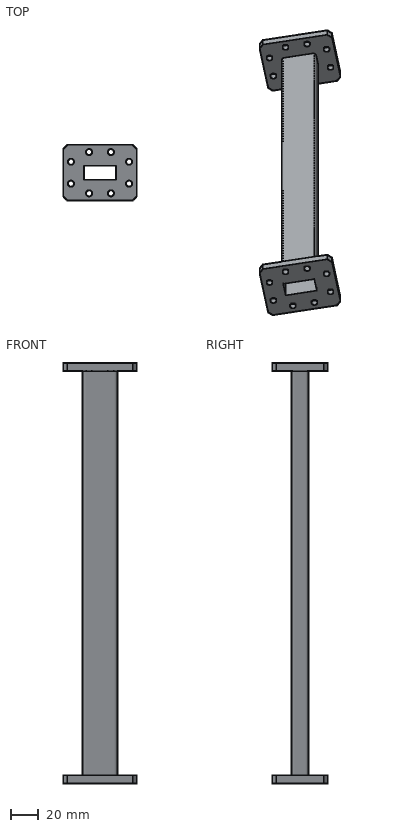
import cadquery as cq

length = 304.8

flange_x = 53.3
flange_y = 40.5
flange_thickness = 6.0
flange_chamfer = 3.0

bore_x = 23.0
bore_y = 10.0
wall = 1.28
tube_x = bore_x + 2 * wall
tube_y = bore_y + 2 * wall
tube_radius = 2.5

hole_diameter = 4.3
pair_offset = 8.0
hole_row_x = 21.0
hole_row_y = 15.0


def make_flange(bottom_z):
    """Flange plate with chamfered corners and eight bolt holes."""
    end_pairs = [(sx * hole_row_x, sy * pair_offset) for sx in (-1, 1) for sy in (-1, 1)]
    side_pairs = [(sx * pair_offset, sy * hole_row_y) for sx in (-1, 1) for sy in (-1, 1)]
    return (
        cq.Workplane("XY", origin=(0, 0, bottom_z))
        .rect(flange_x, flange_y)
        .extrude(flange_thickness)
        .edges("|Z")
        .chamfer(flange_chamfer)
        .faces(">Z")
        .workplane(origin=(0, 0, 0))
        .pushPoints(end_pairs + side_pairs)
        .hole(hole_diameter)
    )


tube = cq.Workplane("XY").rect(tube_x, tube_y).extrude(length).edges("|Z").fillet(tube_radius)
bore = cq.Workplane("XY").rect(bore_x, bore_y).extrude(length)

body = tube
for bottom_z in (0, length - flange_thickness):
    body = body.union(make_flange(bottom_z))
result = body.cut(bore)